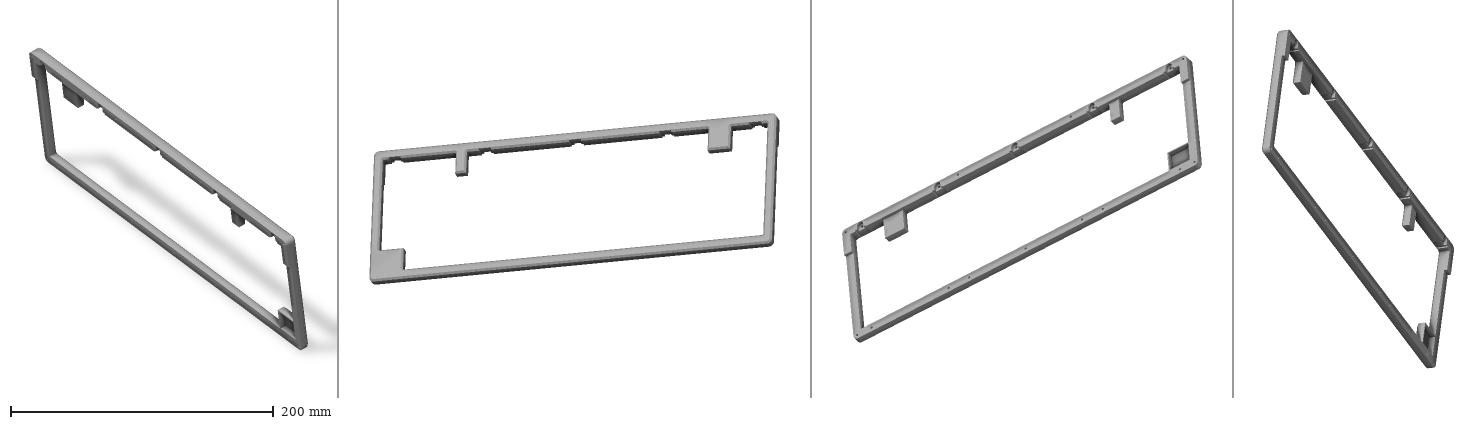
import cadquery as cq

WIDTH = 319.8
HEIGHT = 110.0
TILT_DEGREES = 7.0
THICKNESS = 7.0
HEAD_THICKNESS = 9.5
HEAD_HEIGHT = 25.0
SIDE_BAR = 7.0
END_BAR = 7.7
CORNER_RADIUS = 3.8
INNER_RADIUS = 1.0
BACK_CHAMFER = 1.45

TABS = [(-123.7, -105.8, 26.2), (86.0, 94.5, 25.3)]

TRAY_WIDTH = 19.5
TRAY_HEIGHT = 18.2
TRAY_WALL = 1.0
TRAY_LIP = 0.3
TRAY_FLOOR = 2.2

HOLE_DIAMETER = 2.0
HOLE_INSET = 3.5
HOLE_FLOOR = 5.0
CORNER_HOLE_SIDE_INSET = 3.2
CORNER_HOLE_X = WIDTH / 2 - CORNER_HOLE_SIDE_INSET
MIDDLE_HOLE_X = 52.5
SCREW_PITCH = 71.5
SCREW_XS = [SCREW_PITCH * step for step in (-2, -1, 0, 1, 2)]
PLAIN_XS = [-CORNER_HOLE_X, -MIDDLE_HOLE_X, MIDDLE_HOLE_X, CORNER_HOLE_X]

RECESS_WIDTH = 5.8
MOUTH_WIDTH = 9.5
MOUTH_HEIGHT = 1.15

INNER_RIGHT = WIDTH / 2 - SIDE_BAR
INNER_TOP = HEIGHT - END_BAR
TOP_HOLE_Z = HEIGHT - HOLE_INSET
TRAY_LEFT = INNER_RIGHT - TRAY_WIDTH
TRAY_TOP = END_BAR + TRAY_HEIGHT


def block(left, right, bottom, top, back, front):
    """Box between two X, two Z and two depths measured forward from the back face."""
    size = (right - left, front - back, top - bottom)
    return cq.Workplane("XY").box(*size, centered=False).translate((left, -front, bottom))


def front_sketch(depth):
    """Workplane facing -Y, with X right and Z up, at a depth forward of the back face."""
    return cq.Workplane("XZ", origin=(0, -depth, 0))


def rounded_plate(thickness):
    """Full-size plate with rounded corners."""
    plate = block(-WIDTH / 2, WIDTH / 2, 0, HEIGHT, 0, thickness)
    return plate.edges("|Y").fillet(CORNER_RADIUS)


def frame():
    """Frame with tabs and tray block, chamfered at the back and thicker along its head."""
    opening = block(-INNER_RIGHT, INNER_RIGHT, END_BAR, INNER_TOP, 0, HEAD_THICKNESS)
    tray = block(TRAY_LEFT, INNER_RIGHT, END_BAR, TRAY_TOP, 0, HEAD_THICKNESS)
    base_opening = opening.cut(tray)
    for left, right, drop in TABS:
        tab = block(left, right, HEIGHT - drop, INNER_TOP, 0, HEAD_THICKNESS)
        base_opening = base_opening.cut(tab)
    base = rounded_plate(THICKNESS).cut(base_opening.edges("|Y and (>X or >Z or <Z)").fillet(INNER_RADIUS))
    base = base.faces(">Y").edges().chamfer(BACK_CHAMFER)

    head_zone = block(-WIDTH / 2, WIDTH / 2, HEIGHT - HEAD_HEIGHT, HEIGHT, THICKNESS, HEAD_THICKNESS)
    head = rounded_plate(HEAD_THICKNESS).intersect(head_zone)
    return base.union(head.cut(opening.edges("|Y").fillet(INNER_RADIUS)))


def tray_pocket():
    """Pocket that leaves the tray a floor and three thin walls."""
    left = TRAY_LEFT + TRAY_WALL
    bottom = END_BAR + TRAY_LIP
    top = TRAY_TOP - TRAY_WALL
    return block(left, INNER_RIGHT, bottom, top, TRAY_FLOOR, THICKNESS)


def screw_holes():
    """Blind holes from the front of the top and bottom bars."""
    points = [(x, z) for x in SCREW_XS + PLAIN_XS for z in (HOLE_INSET, TOP_HOLE_Z)]
    pins = front_sketch(HOLE_FLOOR).pushPoints(points).circle(HOLE_DIAMETER / 2)
    return pins.extrude(HEAD_THICKNESS - HOLE_FLOOR)


def screw_recess(x):
    """Arched recess around one screw, opening into a wider notch along the bottom of the top bar."""
    half = RECESS_WIDTH / 2
    arch = (
        front_sketch(THICKNESS)
        .moveTo(x - half, INNER_TOP)
        .lineTo(x - half, TOP_HOLE_Z)
        .threePointArc((x, TOP_HOLE_Z + half), (x + half, TOP_HOLE_Z))
        .lineTo(x + half, INNER_TOP)
        .close()
        .extrude(HEAD_THICKNESS - THICKNESS)
    )
    half_mouth = MOUTH_WIDTH / 2
    mouth_top = INNER_TOP + MOUTH_HEIGHT
    mouth = block(x - half_mouth, x + half_mouth, INNER_TOP, mouth_top, 0, HEAD_THICKNESS)
    return arch.union(mouth)


upright = frame().cut(tray_pocket()).cut(screw_holes())
for screw_x in SCREW_XS:
    upright = upright.cut(screw_recess(screw_x))

result = upright.rotate((0, 0, 0), (1, 0, 0), TILT_DEGREES)